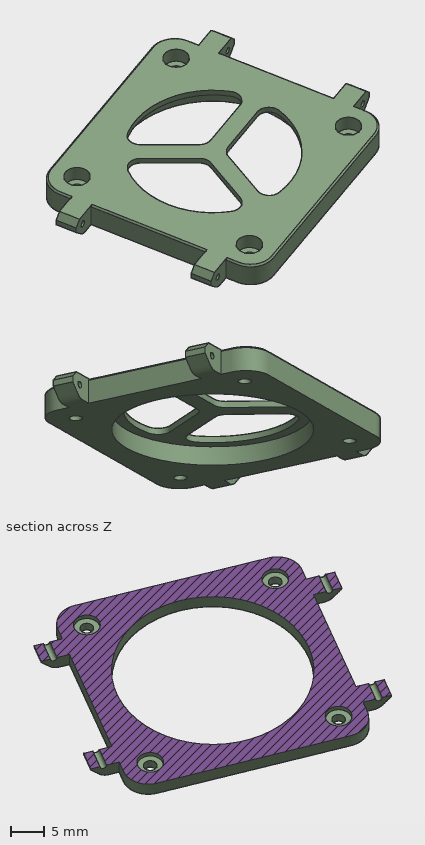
import cadquery as cq
import math

overall_length = 48.0
plate_side = 39.0
thickness = 4.0
corner_radius = 4.0
top_chamfer = 0.3

screw_offset = 15.0
screw_diameter = 2.0
head_diameter = 4.0
head_floor = 1.5

opening_radius = 13.5
opening_angles = (30, 150, 270)
half_sector = math.radians(60)
spoke_width = 3.0
spoke_thickness = 1.0
opening_fillet = 2.0
bore_radius = 15.25

lug_offset = 11.75
lug_width = 3.5
lug_top_chamfer = 1.0
lug_bottom_chamfer = 2.0
lug_bottom_radius = 2.0
pin_diameter = 1.0
pin_inset = 2.0
pin_height = 2.2


def make_plate():
    plate = cq.Workplane("XY").rect(plate_side, plate_side).extrude(thickness)
    plate = plate.edges("|Z").fillet(corner_radius)
    return plate.faces(">Z").edges().chamfer(top_chamfer)


def make_lug(x_center):
    """Lug on the +Y side, reaching into the plate past its chamfered edge."""
    root = plate_side / 2 - corner_radius / 2
    tip = overall_length / 2
    profile = [
        (root, 0),
        (tip - lug_bottom_chamfer, 0),
        (tip, lug_bottom_chamfer),
        (tip, thickness - lug_top_chamfer),
        (tip - lug_top_chamfer, thickness),
        (root, thickness),
    ]
    lug = cq.Workplane("YZ").polyline(profile).close().extrude(lug_width / 2, both=True)
    bottom_corner = cq.selectors.NearestToPointSelector((0, tip - lug_bottom_chamfer, 0))
    lug = lug.edges("|X").edges(bottom_corner).fillet(lug_bottom_radius)
    pin_hole = (
        cq.Workplane("YZ")
        .center(tip - pin_inset, pin_height)
        .circle(pin_diameter / 2)
        .extrude(lug_width, both=True)
    )
    return lug.cut(pin_hole).translate((x_center, 0, 0))


def make_opening(mid_angle):
    """Rounded third of a disc, set back from its neighbours by half a spoke."""
    apex = spoke_width / 2 / math.sin(half_sector)
    rim_setback = math.asin(spoke_width / 2 / opening_radius)
    rim_angle = half_sector - rim_setback
    rim_x = opening_radius * math.cos(rim_angle)
    rim_y = opening_radius * math.sin(rim_angle)
    opening = (
        cq.Workplane("XY")
        .moveTo(apex, 0)
        .lineTo(rim_x, -rim_y)
        .threePointArc((opening_radius, 0), (rim_x, rim_y))
        .close()
        .extrude(thickness)
        .edges("|Z")
        .fillet(opening_fillet)
    )
    return opening.rotate((0, 0, 0), (0, 0, 1), mid_angle)


def make_screw_hole(x, y):
    """Clearance hole with a recess in the top for the screw head."""
    shank = cq.Workplane("XY").circle(screw_diameter / 2).extrude(thickness)
    head = (
        cq.Workplane("XY", origin=(0, 0, head_floor))
        .circle(head_diameter / 2)
        .extrude(thickness)
    )
    return shank.union(head).translate((x, y, 0))


result = make_plate()

for x in (-lug_offset, lug_offset):
    lug = make_lug(x)
    result = result.union(lug).union(lug.mirror("XZ"))

for mid_angle in opening_angles:
    result = result.cut(make_opening(mid_angle))

bore = cq.Workplane("XY").circle(bore_radius).extrude(thickness - spoke_thickness)
result = result.cut(bore)

for x in (-screw_offset, screw_offset):
    for y in (-screw_offset, screw_offset):
        result = result.cut(make_screw_hole(x, y))